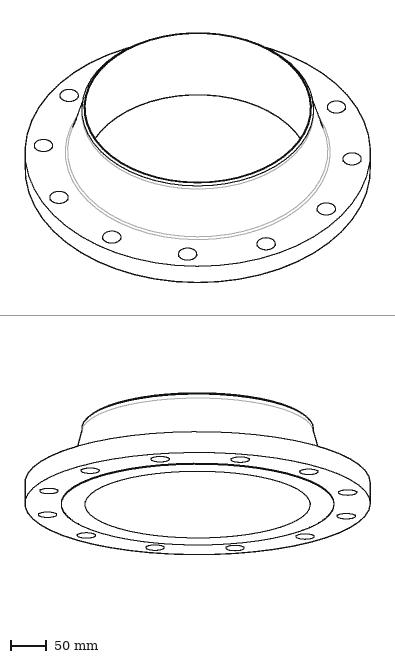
import cadquery as cq

flange_diameter = 482.5
flange_top = 32.0
raised_face_diameter = 381.0
raised_face_height = 1.5

total_height = 114.5
pipe_diameter = 323.5
bore_diameter = 314.5
hub_diameter = 364.7
root_fillet = 3.5
straight_length = 8.5
bevel_height = 3.0
top_land = 1.5

bolt_count = 12
bolt_circle_diameter = 432.0
bolt_hole_diameter = 25.5


def make_flange():
    """Flat ring plate with a shallow raised sealing face underneath."""
    raised_face = cq.Workplane("XY").circle(raised_face_diameter / 2).extrude(raised_face_height)
    plate = (
        cq.Workplane("XY")
        .workplane(offset=raised_face_height)
        .circle(flange_diameter / 2)
        .extrude(flange_top - raised_face_height)
    )
    return plate.union(raised_face)


def make_neck():
    """Solid of the tapered hub, short straight pipe end and weld bevel."""
    straight_bottom = total_height - straight_length
    bevel_bottom = total_height - bevel_height
    top_radius = bore_diameter / 2 + top_land
    profile = [
        (0, flange_top),
        (hub_diameter / 2, flange_top),
        (pipe_diameter / 2, straight_bottom),
        (pipe_diameter / 2, bevel_bottom),
        (top_radius, total_height),
        (0, total_height),
    ]
    return cq.Workplane("XZ").polyline(profile).close().revolve(360, (0, 0), (0, 1))


def round_hub_root(body):
    """Round the inside corner where the hub meets the plate."""
    reach = hub_diameter / 2 + root_fillet
    root_edge = cq.selectors.BoxSelector(
        (-reach, -reach, flange_top - root_fillet),
        (reach, reach, flange_top + root_fillet),
        boundingbox=True,
    )
    return body.edges(root_edge).fillet(root_fillet)


def cut_bore(body):
    bore = cq.Workplane("XY").circle(bore_diameter / 2).extrude(total_height)
    return body.cut(bore)


def cut_bolt_holes(body):
    """Through holes evenly spaced on the bolt circle, the first on the +X axis."""
    holes = (
        cq.Workplane("XY")
        .polarArray(bolt_circle_diameter / 2, 0, 360, bolt_count)
        .circle(bolt_hole_diameter / 2)
        .extrude(flange_top)
    )
    return body.cut(holes)


blank = round_hub_root(make_flange().union(make_neck()))
result = cut_bolt_holes(cut_bore(blank))